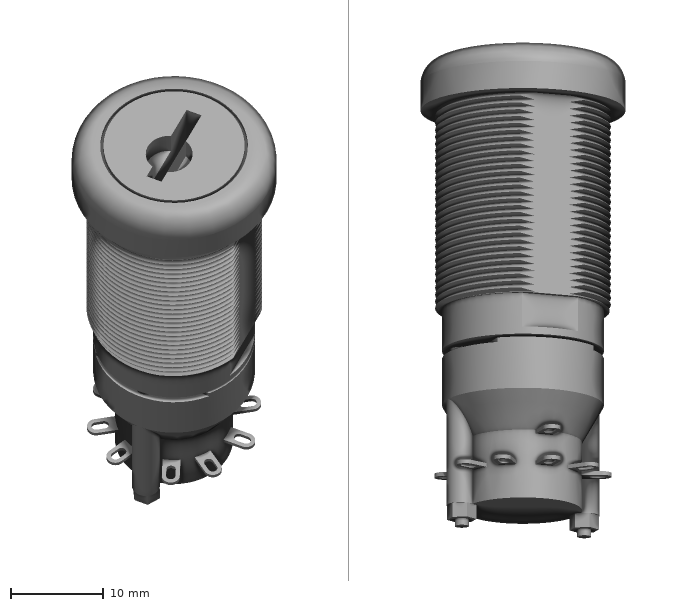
import cadquery as cq
import math


CAP_DIAMETER = 22.225
CAP_HEIGHT = 5.556
CAP_ROUND = 2.54
CORE_DIAMETER = 15.3
CORE_GAP = 0.35
CORE_GAP_DEPTH = 0.5
KEY_SLOT_WIDTH = 1.78
KEY_SLOT_LENGTH = 10.26
KEYHOLE_DIAMETER = 5.08
KEYHOLE_OFFSET = 1.27
KEYHOLE_DEPTH = 2.54
KEY_SLOT_DEPTH = 5.08

THREAD_DIAMETER = 19.05
THREAD_LENGTH = 22.225
THREAD_PITCH = 0.762
THREAD_DEPTH = 0.52
CREST_WIDTH = 0.06
ROOT_WIDTH = 0.04
THREAD_CORE_DIAMETER = 17.0

BODY_DIAMETER = 17.55

NECK_LENGTH = 3.75
NECK_FLATS = 16.32
WASHER_THICKNESS = 0.8
SPACER_DIAMETER = 9.3
SPACER_THICKNESS = 0.32

TOP_PLATE_THICKNESS = 0.5
TOP_PLATE_WIDTH = 11.14
HOUSING_LENGTH = 5.2
CONE_LENGTH = 4.1
BASE_DIAMETER = 12.83
BASE_LENGTH = 7.55

SCREW_OFFSET = 7.11
COLUMN_DIAMETER = 3.05
HEAD_DIAMETER = 2.5
NUT_ACROSS_CORNERS = 3.2
NUT_HEIGHT = 1.57
SCREW_DIAMETER = 1.52
SCREW_TIP = 0.75

LUG_REACH = 9.6
LUG_WIDTH = 1.95
LUG_THICKNESS = 0.42
LUG_SLOT_WIDTH = 1.02
LUG_SLOT_LENGTH = 1.9
LUG_SLOT_WALL = 0.48
LUG_ROOT_RADIUS = 4.0
LUG_FAN_ANGLES = (-67.5, -36, 0, 36, 67.5)
LUG_TIER_SPACING = 3.43

THREAD_BOTTOM = -THREAD_LENGTH
NECK_BOTTOM = THREAD_BOTTOM - NECK_LENGTH
WASHER_BOTTOM = NECK_BOTTOM - WASHER_THICKNESS
PLATE_TOP = WASHER_BOTTOM - SPACER_THICKNESS
HOUSING_TOP = PLATE_TOP - TOP_PLATE_THICKNESS
CONE_TOP = HOUSING_TOP - HOUSING_LENGTH
BASE_TOP = CONE_TOP - CONE_LENGTH
BASE_BOTTOM = BASE_TOP - BASE_LENGTH
NUT_BOTTOM = BASE_BOTTOM - NUT_HEIGHT


def cylinder(diameter, top, bottom, x=0.0, y=0.0):
    """Upright cylinder between two levels."""
    return cq.Workplane("XY", origin=(x, y, bottom)).circle(diameter / 2).extrude(top - bottom)


def slab(size_x, size_y, top, bottom):
    """Upright rectangular block centred on the Z axis."""
    return cq.Workplane("XY", origin=(0, 0, bottom)).rect(size_x, size_y).extrude(top - bottom)


def make_cap():
    cap = cylinder(CAP_DIAMETER, CAP_HEIGHT, 0).faces(">Z").edges().fillet(CAP_ROUND)

    gap_floor = CAP_HEIGHT - CORE_GAP_DEPTH
    gap = cylinder(CORE_DIAMETER + 2 * CORE_GAP, CAP_HEIGHT, gap_floor)
    gap = gap.cut(cylinder(CORE_DIAMETER, CAP_HEIGHT, gap_floor))

    key_slot = slab(KEY_SLOT_WIDTH, KEY_SLOT_LENGTH, CAP_HEIGHT, CAP_HEIGHT - KEY_SLOT_DEPTH)
    keyhole = cylinder(KEYHOLE_DIAMETER, CAP_HEIGHT, CAP_HEIGHT - KEYHOLE_DEPTH, y=-KEYHOLE_OFFSET)
    return cap.cut(gap).cut(key_slot.union(keyhole))


def make_thread_half():
    """Thread on the +Y side: a comb of teeth swept half a turn about the Z axis."""
    crest_radius = THREAD_DIAMETER / 2
    root_radius = crest_radius - THREAD_DEPTH
    inner_radius = THREAD_CORE_DIAMETER / 4
    half_crest = CREST_WIDTH / 2
    half_base = (THREAD_PITCH - ROOT_WIDTH) / 2

    tooth_count = math.ceil(THREAD_LENGTH / THREAD_PITCH) + 2
    top_level = THREAD_PITCH / 2
    bottom_level = top_level - tooth_count * THREAD_PITCH

    comb = [(inner_radius, bottom_level)]
    for tooth in range(tooth_count):
        level = bottom_level + (tooth + 0.5) * THREAD_PITCH
        comb.append((root_radius, level - half_base))
        comb.append((crest_radius, level - half_crest))
        comb.append((crest_radius, level + half_crest))
        comb.append((root_radius, level + half_base))
    comb.append((inner_radius, top_level))

    half_turn_path = cq.Wire.makeHelix(THREAD_PITCH, THREAD_PITCH / 2, crest_radius)
    return cq.Workplane("XZ").polyline(comb).close().sweep(cq.Workplane(half_turn_path), isFrenet=True)


def make_thread():
    """Right-hand thread in two half turns, cut off square at both ends and flattened on two sides."""
    envelope = slab(BODY_DIAMETER, CAP_DIAMETER, 0, THREAD_BOTTOM)
    rear = make_thread_half()
    front = rear.rotate((0, 0, 0), (0, 0, 1), 180).translate((0, 0, THREAD_PITCH / 2))
    barrel = cylinder(THREAD_CORE_DIAMETER, 0, THREAD_BOTTOM)
    return barrel.union(rear.intersect(envelope)).union(front.intersect(envelope))


def make_neck():
    neck = cylinder(BODY_DIAMETER, THREAD_BOTTOM, NECK_BOTTOM)
    neck = neck.intersect(slab(NECK_FLATS, BODY_DIAMETER, THREAD_BOTTOM, NECK_BOTTOM))
    washer = cylinder(BODY_DIAMETER, NECK_BOTTOM, WASHER_BOTTOM)
    spacer = cylinder(SPACER_DIAMETER, WASHER_BOTTOM, PLATE_TOP)
    return neck.union(washer).union(spacer)


def make_housing():
    plate = cylinder(BODY_DIAMETER, PLATE_TOP, HOUSING_TOP)
    plate = plate.intersect(slab(BODY_DIAMETER, TOP_PLATE_WIDTH, PLATE_TOP, HOUSING_TOP))
    body_outline = [
        (0, HOUSING_TOP),
        (BODY_DIAMETER / 2, HOUSING_TOP),
        (BODY_DIAMETER / 2, CONE_TOP),
        (BASE_DIAMETER / 2, BASE_TOP),
        (BASE_DIAMETER / 2, BASE_BOTTOM),
        (0, BASE_BOTTOM),
    ]
    body = cq.Workplane("XZ").polyline(body_outline).close().revolve(360, (0, 0), (0, 1))
    return plate.union(body)


def make_screw(y):
    """Screw head on the housing, the nut and screw tip below, and the column between them.

    The column is flush with the outside of the housing, a little further out than the screw.
    """
    head = cylinder(HEAD_DIAMETER, PLATE_TOP, HOUSING_TOP, y=y)
    column_offset = math.copysign((BODY_DIAMETER - COLUMN_DIAMETER) / 2, y)
    column = cylinder(COLUMN_DIAMETER, CONE_TOP, BASE_BOTTOM, y=column_offset)
    nut = cq.Workplane("XY", origin=(0, y, NUT_BOTTOM)).polygon(6, NUT_ACROSS_CORNERS).extrude(NUT_HEIGHT)
    tip = cylinder(SCREW_DIAMETER, NUT_BOTTOM, NUT_BOTTOM - SCREW_TIP, y=y)
    return [head, column, nut, tip]


def make_lug(angle, top):
    """Flat solder lug with a round end and an oval eye, pointing outward at an angle from +X."""
    end_center = LUG_REACH - LUG_WIDTH / 2
    straight_length = end_center - LUG_ROOT_RADIUS
    eye_center = LUG_REACH - LUG_SLOT_WALL - LUG_SLOT_LENGTH / 2
    level = cq.Workplane("XY", origin=(0, 0, top - LUG_THICKNESS))

    strip = level.center(LUG_ROOT_RADIUS + straight_length / 2, 0).rect(straight_length, LUG_WIDTH)
    lug = strip.extrude(LUG_THICKNESS)
    lug = lug.union(level.center(end_center, 0).circle(LUG_WIDTH / 2).extrude(LUG_THICKNESS))
    eye = level.center(eye_center, 0).slot2D(LUG_SLOT_LENGTH, LUG_SLOT_WIDTH).extrude(LUG_THICKNESS)
    return lug.cut(eye).rotate((0, 0, 0), (0, 0, 1), angle)


def make_lugs():
    """One upper lug facing -X; lower lugs in a fan of five on the -X side and of five on the +X side."""
    lower_top = BASE_TOP - LUG_TIER_SPACING
    lugs = [make_lug(180, BASE_TOP)]
    for facing in (0, 180):
        for angle in LUG_FAN_ANGLES:
            lugs.append(make_lug(facing + angle, lower_top))
    return lugs


result = make_housing().union(make_neck())
for side in (-1, 1):
    for piece in make_screw(side * SCREW_OFFSET):
        result = result.union(piece)
for lug in make_lugs():
    result = result.union(lug)
result = result.union(make_thread()).union(make_cap())